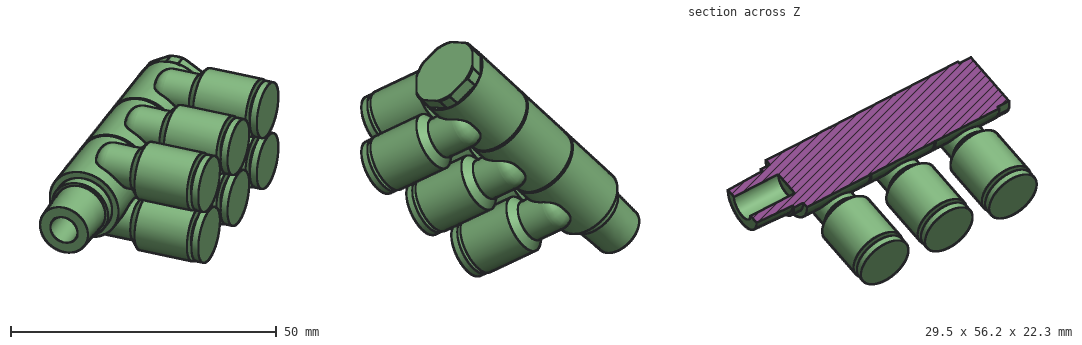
import cadquery as cq


overall_width = 29.45
overall_length = 56.2
overall_height = 22.3

segment_count = 3
body_diameter = 14.0
joint_diameter = 13.8
joint_width = 0.3

collar_diameter = 11.4
thread_root_diameter = 10.3
thread_tip_diameter = 9.8
bore_diameter = 5.5
taper_length = 6.95
thread_root_length = 1.0
collar_length = 2.0

cap_length = 2.6
cap_across_flats = 13.0
cap_chamfer = 0.15

port_diameter = 11.1
neck_diameter = 8.0
release_groove_diameter = 7.0
release_ring_diameter = 10.8
neck_end_radius = 2.6
neck_length = 8.05
shoulder_length = 1.5
release_groove_length = 0.85
release_ring_length = 1.4

thread_root_start = taper_length
collar_start = thread_root_start + thread_root_length
body_start = collar_start + collar_length
body_end = overall_length - cap_length
segment_length = (body_end - body_start) / segment_count
port_reach = overall_width - body_diameter / 2
port_height = (overall_height - port_diameter) / 2


def cylinder_along_y(diameter, start, end):
    """Solid cylinder on the manifold axis between two Y positions."""
    face = cq.Workplane("XZ", origin=(0, start, 0)).circle(diameter / 2)
    return face.extrude(start - end)


def make_body():
    """Plain cylinder with a shallow groove at each joint between segments."""
    body = cylinder_along_y(body_diameter, body_start, body_end)
    for joint in range(1, segment_count):
        groove_start = body_start + joint * segment_length - joint_width / 2
        groove = (
            cq.Workplane("XZ", origin=(0, groove_start, 0))
            .circle(body_diameter / 2)
            .circle(joint_diameter / 2)
            .extrude(-joint_width)
        )
        body = body.cut(groove)
    return body


def make_cap():
    """Hexagon with flats facing -X and +X, trimmed by a chamfered disc."""
    disc = cylinder_along_y(joint_diameter, body_end, overall_length)
    disc = disc.faces(">Y").chamfer(cap_chamfer)
    hexagon = (
        cq.Workplane("XZ", origin=(0, body_end, 0))
        .polygon(6, cap_across_flats, circumscribed=True)
        .extrude(-cap_length)
    )
    return disc.intersect(hexagon)


def make_threaded_end():
    """Collar, short straight root and taper, turned about the manifold axis."""
    return (
        cq.Workplane("XY")
        .moveTo(0, 0)
        .lineTo(thread_tip_diameter / 2, 0)
        .lineTo(thread_root_diameter / 2, thread_root_start)
        .lineTo(thread_root_diameter / 2, collar_start)
        .lineTo(collar_diameter / 2, collar_start)
        .lineTo(collar_diameter / 2, body_start)
        .lineTo(0, body_start)
        .close()
        .revolve(360, (0, 0, 0), (0, 1, 0))
    )


def make_port():
    """One port turned about the X axis, with its rounded inner end at X = 0."""
    ring_start = port_reach - release_ring_length
    sleeve_end = ring_start - release_groove_length
    neck_radius = neck_diameter / 2
    profile = (
        cq.Workplane("XY")
        .moveTo(0, 0)
        .lineTo(0, neck_radius - neck_end_radius)
        .tangentArcPoint((neck_end_radius, neck_radius), relative=False)
        .lineTo(neck_length, neck_radius)
        .lineTo(neck_length + shoulder_length, port_diameter / 2)
        .lineTo(sleeve_end, port_diameter / 2)
        .lineTo(sleeve_end, release_groove_diameter / 2)
        .lineTo(ring_start, release_groove_diameter / 2)
        .lineTo(ring_start, release_ring_diameter / 2)
        .lineTo(port_reach, release_ring_diameter / 2)
        .lineTo(port_reach, 0)
        .close()
    )
    return profile.revolve(360, (0, 0, 0), (1, 0, 0))


result = make_body().union(make_cap()).union(make_threaded_end())

port = make_port()
for segment in range(segment_count):
    port_y = body_start + (segment + 0.5) * segment_length
    for side in (-1, 1):
        result = result.union(port.translate((0, port_y, side * port_height)))

result = result.cut(cylinder_along_y(bore_diameter, 0, body_start))